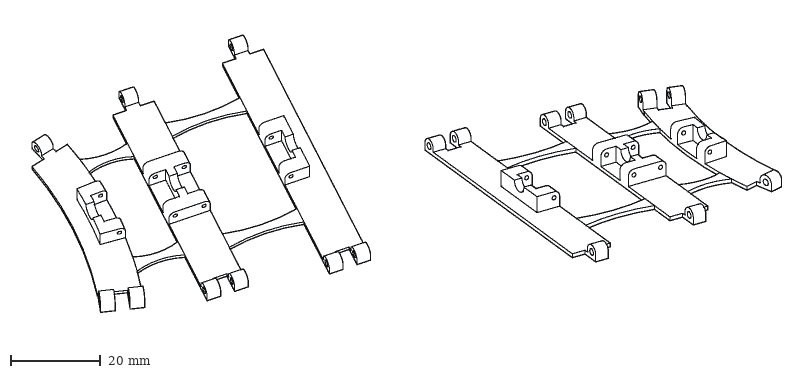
import cadquery as cq
import math

plate_thickness = 1.0
plate_width = 10.0
long_gap = 18.0
short_gap = 10.1

lug_width = plate_width / 3
lug_radius = 1.76
lug_length = 2 * lug_radius
lug_bore = 1.5
neck_length = 1.0
hinge_length = lug_length + neck_length
low_axis_height = lug_radius
high_axis_height = low_axis_height + plate_thickness
left_rows = [0]
right_rows = [-lug_width, lug_width]

rear_tip = 33.25
middle_tip = 29.5
middle_y = 0
rear_y = middle_y + plate_width + long_gap

outer_radius = 100.0
inner_radius = outer_radius - plate_width
mid_radius = outer_radius - plate_width / 2
arc_half_angle = 15.0
crown_y = middle_y - plate_width / 2 - short_gap
arc_center_y = crown_y - outer_radius

block_height = 5.0
block_width = 15.0
pocket_width = 8.0
pocket_depth = 4.0
saddle_wall = 2.0
block_depth = pocket_depth + saddle_wall
saddle_radius = 2.0
edge_radius = 1.495
pin_bore = 1.0
pin_height = block_height - edge_radius
block_half_angle = 4.1
pocket_half_angle = 2.3

link_end_width = 4.0
link_waist = 2.0
long_link_x = 16.5
short_link_x = 14.6


def box(x_min, x_max, y_min, y_max, z_min, z_max):
    size = (x_max - x_min, y_max - y_min, z_max - z_min)
    return cq.Workplane("XY").box(*size, centered=False).translate((x_min, y_min, z_min))


def hinge(axis_height, row_y):
    """Lug and neck pointing along +X, with the tip at X = 0."""
    shank = box(-lug_length, 0, -lug_width / 2, lug_width / 2, 0, axis_height)
    neck = box(-hinge_length, -lug_radius, -lug_width / 2, lug_width / 2, 0, plate_thickness)
    side = cq.Workplane("XZ", origin=(-lug_radius, lug_width / 2, axis_height))
    barrel = side.circle(lug_radius).extrude(lug_width)
    bore = side.circle(lug_bore / 2).extrude(lug_width)
    return shank.union(barrel).union(neck).cut(bore).translate((0, row_y, 0))


def hinge_set(axis_height, rows):
    lugs = hinge(axis_height, rows[0])
    for row_y in rows[1:]:
        lugs = lugs.union(hinge(axis_height, row_y))
    return lugs


def x_bore(y):
    """Pin hole along X through both cheeks of a saddle block."""
    start = cq.Workplane("YZ", origin=(-block_width / 2, y, pin_height))
    return start.circle(pin_bore / 2).extrude(block_width)


def saddle_groove(y_min, y_max):
    end = cq.Workplane("XZ", origin=(0, y_max, block_height))
    return end.circle(saddle_radius).extrude(y_max - y_min)


def straight_block(open_sides):
    """Saddle block centred on a plate; open_sides lists the sides (-1 front, 1 rear) with a pocket."""
    half_plate = plate_width / 2
    y_min = -half_plate if -1 in open_sides else half_plate - block_depth
    y_max = half_plate if 1 in open_sides else block_depth - half_plate
    half_width = block_width / 2
    block = box(-half_width, half_width, y_min, y_max, 0, block_height)
    for side in open_sides:
        block = block.faces(">Z").edges(">Y" if side > 0 else "<Y").fillet(edge_radius)
    block = block.cut(saddle_groove(y_min, y_max))
    for side in open_sides:
        pocket_ys = sorted((side * half_plate, side * (half_plate - pocket_depth)))
        block = block.cut(
            box(-pocket_width / 2, pocket_width / 2, *pocket_ys, plate_thickness, block_height)
        )
        block = block.cut(x_bore(side * (half_plate - edge_radius)))
    return block


def straight_plate(tip, y, open_sides):
    body_end = tip - hinge_length
    half_plate = plate_width / 2
    plate = box(-body_end, body_end, -half_plate, half_plate, 0, plate_thickness)
    left = hinge_set(low_axis_height, left_rows).rotate((0, 0, 0), (0, 0, 1), 180)
    right = hinge_set(low_axis_height, right_rows)
    plate = plate.union(left.translate((-tip, 0, 0))).union(right.translate((tip, 0, 0)))
    return plate.union(straight_block(open_sides)).translate((0, y, 0))


def arc_point(radius, angle):
    """Point on a circle about the bend centre; the angle in degrees runs from +Y towards +X."""
    turn = math.radians(angle)
    return (radius * math.sin(turn), arc_center_y + radius * math.cos(turn))


def ring_sector(r_in, r_out, half_angle, z_min, z_max):
    return (
        cq.Workplane("XY", origin=(0, 0, z_min))
        .moveTo(*arc_point(r_out, -half_angle))
        .threePointArc(arc_point(r_out, 0), arc_point(r_out, half_angle))
        .lineTo(*arc_point(r_in, half_angle))
        .threePointArc(arc_point(r_in, 0), arc_point(r_in, -half_angle))
        .close()
        .extrude(z_max - z_min)
    )


def at_arc_end(shape, side):
    """Move a shape from the origin to a tip of the curved plate, with +X turned along the arc."""
    x, y = arc_point(mid_radius, side * arc_half_angle)
    return shape.rotate((0, 0, 0), (0, 0, 1), -side * arc_half_angle).translate((x, y, 0))


def curved_block():
    block = ring_sector(outer_radius - block_depth, outer_radius, block_half_angle, 0, block_height)
    block = block.faces(">Z").edges(">Y").fillet(edge_radius)
    block = block.cut(saddle_groove(crown_y - plate_width, crown_y))
    pocket = ring_sector(
        outer_radius - pocket_depth, outer_radius, pocket_half_angle, plate_thickness, block_height
    )
    cheek_angle = (block_half_angle + pocket_half_angle) / 2
    bore_y = arc_point(outer_radius - edge_radius, cheek_angle)[1]
    return block.cut(pocket).cut(x_bore(bore_y))


def curved_plate():
    plate = ring_sector(inner_radius, outer_radius, arc_half_angle, 0, plate_thickness)
    end_trim = box(-hinge_length, plate_width, -plate_width, plate_width, 0, plate_thickness)
    for side in (-1, 1):
        trim = end_trim if side > 0 else end_trim.mirror("YZ")
        plate = plate.cut(at_arc_end(trim, side))
    left = hinge_set(low_axis_height, left_rows).mirror("YZ")
    right = hinge_set(high_axis_height, right_rows)
    plate = plate.union(at_arc_end(left, -1)).union(at_arc_end(right, 1))
    return plate.union(curved_block())


def long_link(x):
    """Waisted strip between the rear and middle plates."""
    end = link_end_width / 2
    waist = link_waist / 2
    y_max = rear_y - plate_width / 2
    y_min = y_max - long_gap
    y_mid = (y_min + y_max) / 2
    return (
        cq.Workplane("XY")
        .moveTo(x - end, y_max)
        .lineTo(x + end, y_max)
        .threePointArc((x + waist, y_mid), (x + end, y_min))
        .lineTo(x - end, y_min)
        .threePointArc((x - waist, y_mid), (x - end, y_max))
        .close()
        .extrude(plate_thickness)
    )


def arc_y(x):
    return arc_center_y + math.sqrt(outer_radius**2 - x**2)


def short_link(x):
    """Waisted strip between the middle plate and the outer edge of the curved plate."""
    end = link_end_width / 2
    waist = link_waist / 2
    y_max = middle_y - plate_width / 2
    y_mid = (y_max + arc_y(x)) / 2
    return (
        cq.Workplane("XY")
        .moveTo(x - end, y_max)
        .lineTo(x + end, y_max)
        .threePointArc((x + waist, y_mid), (x + end, arc_y(x + end)))
        .threePointArc((x, arc_y(x)), (x - end, arc_y(x - end)))
        .threePointArc((x - waist, y_mid), (x - end, y_max))
        .close()
        .extrude(plate_thickness)
    )


rear_plate = straight_plate(rear_tip, rear_y, [-1])
middle_plate = straight_plate(middle_tip, middle_y, [-1, 1])
front_plate = curved_plate()
long_links = [long_link(side * long_link_x) for side in (-1, 1)]
short_links = [short_link(side * short_link_x) for side in (-1, 1)]

result = cq.Compound.makeCompound(
    [
        rear_plate.val(),
        middle_plate.val(),
        front_plate.val(),
        *[link.val() for link in long_links],
        *[link.val() for link in short_links],
    ]
)